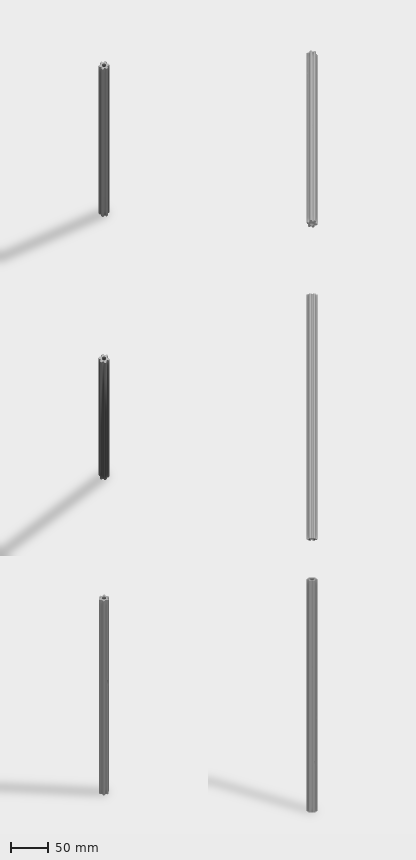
import cadquery as cq
import math

LENGTH = 336.55
ACROSS_FLATS = 12.7
BORE_DIAMETER = 5.87
FLUTE_RADIUS = 1.524
CORNER_RADIUS = 0.15
FLUTE_LIP_RADIUS = 0.254
FLAT_COUNT = 6

apothem = ACROSS_FLATS / 2
corner_distance = apothem / math.cos(math.pi / FLAT_COUNT)
lip_distance = math.hypot(apothem, FLUTE_RADIUS)
flat_pitch_angle = 360 / FLAT_COUNT

PICK_TOLERANCE = 0.01


def hex_bar():
    """Hexagonal bar standing on XY, with two of its corners on the X axis."""
    return cq.Workplane("XY").polygon(FLAT_COUNT, 2 * corner_distance).extrude(LENGTH)


def cut_flutes(bar):
    """Run a half-round flute, centred on the flat's surface, along every flat."""
    flute = cq.Workplane("XY").center(0, apothem).circle(FLUTE_RADIUS).extrude(LENGTH)
    for index in range(FLAT_COUNT):
        bar = bar.cut(flute.rotate((0, 0, 0), (0, 0, 1), index * flat_pitch_angle))
    return bar


def round_long_edges(bar, distance, radius):
    """Fillet the lengthwise edges that lie at the given distance from the axis."""
    picked = []
    for edge in bar.edges("|Z").vals():
        middle = edge.Center()
        if abs(math.hypot(middle.x, middle.y) - distance) < PICK_TOLERANCE:
            picked.append(edge)
    return bar.newObject(picked).fillet(radius)


def cut_bore(bar):
    """Drill the axial bore through the full length."""
    return bar.cut(cq.Workplane("XY").circle(BORE_DIAMETER / 2).extrude(LENGTH))


fluted_bar = cut_flutes(hex_bar())
corners_rounded = round_long_edges(fluted_bar, corner_distance, CORNER_RADIUS)
lips_rounded = round_long_edges(corners_rounded, lip_distance, FLUTE_LIP_RADIUS)
result = cut_bore(lips_rounded)